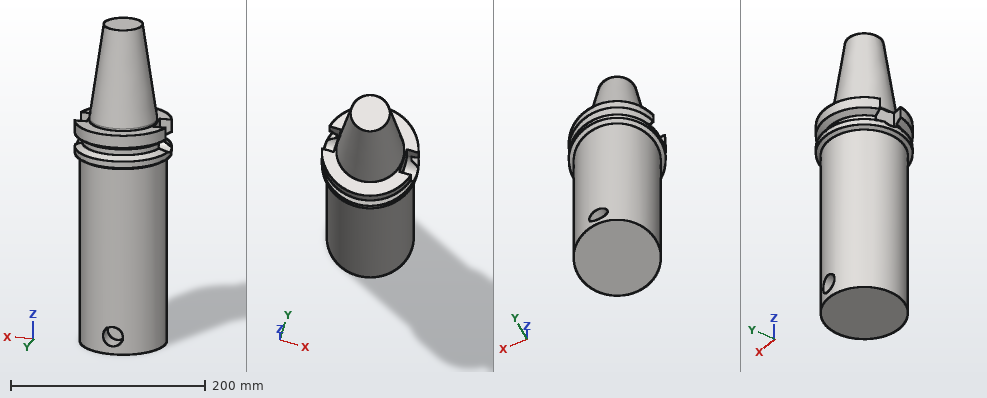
import cadquery as cq
import math

total_height = 344.8
body_radius = 90.0 / 2

taper_small_radius = 40.5 / 2
taper_large_radius = 70.0 / 2
taper_length = 102.0
taper_base_z = total_height - taper_length

flange_radius = 100.0 / 2
flange_top_z = 240.3
flange_bottom_z = 205.0
groove_floor_radius = 84.8 / 2
groove_floor_bottom_z = 216.5
groove_floor_top_z = 222.7
cone_slope = math.tan(math.radians(60))
groove_side_height = (flange_radius - groove_floor_radius) / cone_slope
flange_underside_height = (flange_radius - body_radius) / cone_slope

slot_width = 26.0
slot_floor_x = 35.5
slot_bottom_z = 209.5
slot_arc_z = slot_bottom_z + slot_width / 2

side_hole_diameter = 21.0
side_hole_depth = 21.0
side_hole_z = 19.3


def revolved_holder():
    """Body, grooved flange and taper turned about the Z axis."""
    profile = [
        (0, 0),
        (body_radius, 0),
        (body_radius, flange_bottom_z - flange_underside_height),
        (flange_radius, flange_bottom_z),
        (flange_radius, groove_floor_bottom_z - groove_side_height),
        (groove_floor_radius, groove_floor_bottom_z),
        (groove_floor_radius, groove_floor_top_z),
        (flange_radius, groove_floor_top_z + groove_side_height),
        (flange_radius, flange_top_z),
        (taper_large_radius, flange_top_z),
        (taper_large_radius, taper_base_z),
        (taper_small_radius, total_height),
        (0, total_height),
    ]
    return cq.Workplane("XZ").polyline(profile).close().revolve(360, (0, 0), (0, 1))


def drive_slot(side):
    """Cutter for one slot, open at the flange top; side is +1 or -1 along X."""
    half_width = slot_width / 2
    return (
        cq.Workplane("YZ", origin=(side * slot_floor_x, 0, 0))
        .moveTo(-half_width, flange_top_z)
        .lineTo(-half_width, slot_arc_z)
        .threePointArc((0, slot_bottom_z), (half_width, slot_arc_z))
        .lineTo(half_width, flange_top_z)
        .close()
        .extrude(side * flange_radius)
    )


def side_hole():
    """Cutter for the blind hole entering the body from +Y."""
    return (
        cq.Workplane("XZ", origin=(0, body_radius, side_hole_z))
        .circle(side_hole_diameter / 2)
        .extrude(side_hole_depth)
    )


result = revolved_holder()
for side in (-1, 1):
    result = result.cut(drive_slot(side))
result = result.cut(side_hole())